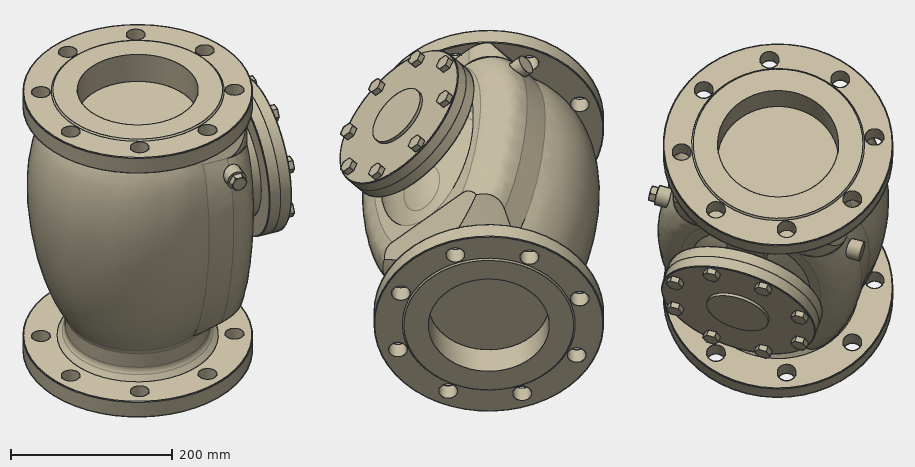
import cadquery as cq
import math

total_height = 400.0
flange_diameter = 285.0
flange_thickness = 24.0
flange_chamfer = 1.0
raised_face_base_diameter = 214.5
raised_face_top_diameter = 210.5
raised_face_height = 2.0
flange_hole_diameter = 23.0
flange_hole_circle_diameter = 240.0
flange_hole_count = 8
bore_diameter = 150.0
bore_depth = 41.0

lower_flange_top = raised_face_height + flange_thickness
upper_flange_bottom = total_height - lower_flange_top
half_pitch_angle = 180 / flange_hole_count

neck_radius = 180.0 / 2
weld_radius = 100.0
weld_angle = 45.0
neck_blend_radius = 12.0
neck_top = 61.5

barrel_profile = [
    (91.5, 67.5),
    (113.5, 114.5),
    (131.0, 185.0),
    (137.0, 250.0),
    (131.0, 313.5),
    (118.5, 347.5),
    (97.0, upper_flange_bottom),
]

casing_back = 113.0
casing_corner_radius = 41.0
casing_seam = 39.0
shoulder_half_width = 97.5
casing_heel = (91.0, 65.5)
casing_slope_top = 107.5
heel_cone_rim = (160.0, 116.0)

opening_height = 256.5
opening_neck_diameter = 150.0
cover_diameter = 200.0
cover_seat = 149.5
opening_flange_thickness = 15.0
cover_thickness = 15.0
cover_chamfer = 1.0
cover_pad_diameter = 80.0
cover_pad_height = 4.0
bridge_width = 48.0
fairing_bottom = 107.5
fairing_top = 356.0
fairing_half_width = 78.0
fairing_crown_radius = 56.0

opening_flange_front = cover_seat - opening_flange_thickness
cover_back = cover_seat + cover_thickness

bolt_count = 8
bolt_circle_diameter = 175.0
hexagon_across_flats = 18.0
hexagon_across_corners = hexagon_across_flats / math.cos(math.radians(30))
bolt_head_height = 7.5

hinge_y = 76.0
hinge_z = 327.0
hinge_boss_diameter = 25.0
hinge_boss_half_length = 133.0
plug_height = 9.0
plug_chamfer = 1.4


def y_plane(y, z=0.0):
    """Plane facing +Y: local x is -X, local y is +Z."""
    return cq.Plane(origin=(0, y, z), xDir=(-1, 0, 0), normal=(0, 1, 0))


def make_pipe_flange():
    """Flange with its raised face down on Z = 0 and eight through holes."""
    disc = (
        cq.Workplane("XY", origin=(0, 0, raised_face_height))
        .circle(flange_diameter / 2)
        .extrude(flange_thickness)
        .edges()
        .chamfer(flange_chamfer)
    )
    raised_face = (
        cq.Workplane("XY")
        .circle(raised_face_top_diameter / 2)
        .workplane(offset=raised_face_height)
        .circle(raised_face_base_diameter / 2)
        .loft(ruled=True)
    )
    holes = (
        cq.Workplane("XY")
        .polarArray(flange_hole_circle_diameter / 2, half_pitch_angle, 360, flange_hole_count)
        .circle(flange_hole_diameter / 2)
        .extrude(lower_flange_top)
    )
    return disc.union(raised_face).cut(holes)


def make_barrel():
    """Lower neck with its weld cone and the bulging barrel, turned about Z."""
    full_turn = math.radians(weld_angle)
    half_turn = full_turn / 2
    cone_top_radius = neck_radius + neck_blend_radius * (1 - math.cos(full_turn))
    cone_top = lower_flange_top + (weld_radius - cone_top_radius) * math.tan(full_turn)
    blend_top = cone_top + neck_blend_radius * math.sin(full_turn)
    blend_middle = (
        neck_radius + neck_blend_radius * (1 - math.cos(half_turn)),
        blend_top - neck_blend_radius * math.sin(half_turn),
    )
    profile = (
        cq.Workplane("XZ")
        .moveTo(0, lower_flange_top)
        .lineTo(weld_radius, lower_flange_top)
        .lineTo(cone_top_radius, cone_top)
        .threePointArc(blend_middle, (neck_radius, blend_top))
        .lineTo(neck_radius, neck_top)
        .lineTo(*barrel_profile[0])
        .spline(barrel_profile[1:], includeCurrent=True)
        .lineTo(0, upper_flange_bottom)
        .close()
    )
    return profile.revolve(360, (0, 0), (0, 1))


def make_casing():
    """Rear half with sides that follow the barrel, rounded corners and a flat back."""
    side = [(math.sqrt(r**2 - casing_seam**2), z) for r, z in barrel_profile[:-1]]
    mirrored_side = [(-x, z) for x, z in reversed(side)]
    shoulder_width, shoulder_z = side[-1]
    lower = (
        cq.Workplane("XZ")
        .moveTo(*side[0])
        .spline(side[1:], includeCurrent=True)
        .lineTo(*mirrored_side[0])
        .spline(mirrored_side[1:], includeCurrent=True)
        .close()
        .extrude(-casing_back)
    )
    lower = lower.faces(">Y").edges("not |X").fillet(casing_corner_radius)

    shoulder = (
        cq.Workplane("XY", origin=(0, casing_back / 2, shoulder_z))
        .rect(2 * shoulder_width, casing_back)
        .extrude(upper_flange_bottom - shoulder_z)
        .edges("|Z and >Y")
        .fillet(casing_corner_radius)
    )
    shoulder_limits = (
        cq.Workplane("XZ")
        .polyline([
            (-shoulder_width, shoulder_z),
            (shoulder_width, shoulder_z),
            (shoulder_half_width, upper_flange_bottom),
            (-shoulder_half_width, upper_flange_bottom),
        ])
        .close()
        .extrude(-casing_back)
    )
    casing = lower.union(shoulder.intersect(shoulder_limits))

    heel_cone = (
        cq.Workplane("XZ")
        .polyline([
            (0, casing_heel[1]),
            casing_heel,
            heel_cone_rim,
            (heel_cone_rim[0], upper_flange_bottom),
            (0, upper_flange_bottom),
        ])
        .close()
        .revolve(360, (0, 0), (0, 1))
    )
    slope_limits = (
        cq.Workplane("YZ")
        .polyline([
            (0, casing_heel[1]),
            casing_heel,
            (casing_back, casing_slope_top),
            (casing_back, upper_flange_bottom),
            (0, upper_flange_bottom),
        ])
        .close()
        .extrude(flange_diameter / 2, both=True)
    )
    return casing.intersect(heel_cone).intersect(slope_limits)


def make_opening():
    """Round neck, its flange, the fairing into the back and the web to the upper flange."""
    neck = (
        cq.Workplane(y_plane(0, opening_height))
        .circle(opening_neck_diameter / 2)
        .extrude(opening_flange_front)
    )
    flange = (
        cq.Workplane(y_plane(opening_flange_front, opening_height))
        .circle(cover_diameter / 2)
        .extrude(opening_flange_thickness)
        .faces("<Y")
        .edges()
        .chamfer(cover_chamfer)
    )
    bridge_height = upper_flange_bottom - opening_height
    bridge = (
        cq.Workplane(y_plane(0, opening_height + bridge_height / 2))
        .rect(bridge_width, bridge_height)
        .extrude(opening_flange_front)
    )
    fairing_middle = (fairing_bottom + fairing_top) / 2
    fairing_half_height = (fairing_top - fairing_bottom) / 2
    fairing = (
        cq.Workplane(y_plane(casing_back, fairing_middle))
        .ellipse(fairing_half_width, fairing_half_height)
        .workplane(offset=opening_flange_front - casing_back)
        .center(0, opening_height - fairing_middle)
        .ellipse(fairing_crown_radius, fairing_crown_radius)
        .loft(ruled=True)
    )
    return neck.union(flange).union(bridge).union(fairing)


def make_hinge():
    """Boss through both sides, ending in a hexagon plug with a turned end on +X."""
    boss = (
        cq.Workplane("YZ", origin=(0, hinge_y, hinge_z))
        .circle(hinge_boss_diameter / 2)
        .extrude(hinge_boss_half_length, both=True)
    )
    plug_base = cq.Workplane("YZ", origin=(hinge_boss_half_length, hinge_y, hinge_z))
    plug_end = plug_base.circle(hexagon_across_corners / 2).extrude(plug_height)
    plug_end = plug_end.faces(">X").edges().chamfer(plug_chamfer)
    plug = plug_base.polygon(6, hexagon_across_corners).extrude(plug_height)
    return boss.union(plug.intersect(plug_end))


def make_housing():
    lower_flange = make_pipe_flange()
    upper_flange = lower_flange.mirror("XY").translate((0, 0, total_height))
    bore = cq.Workplane("XY").circle(bore_diameter / 2).extrude(bore_depth)
    return (
        make_barrel()
        .union(make_casing())
        .union(make_opening())
        .union(make_hinge())
        .union(lower_flange)
        .union(upper_flange)
        .cut(bore)
        .cut(bore.translate((0, 0, total_height - bore_depth)))
    )


def make_cover():
    disc = (
        cq.Workplane(y_plane(cover_seat, opening_height))
        .circle(cover_diameter / 2)
        .extrude(cover_thickness)
        .faces(">Y")
        .edges()
        .chamfer(cover_chamfer)
    )
    pad = (
        cq.Workplane(y_plane(cover_back, opening_height))
        .circle(cover_pad_diameter / 2)
        .extrude(cover_pad_height)
    )
    return disc.union(pad)


def make_bolt(angle):
    """Hexagon head on the cover, two of its corners pointing along X."""
    radius = bolt_circle_diameter / 2
    x = radius * math.cos(math.radians(angle))
    z = radius * math.sin(math.radians(angle))
    return (
        cq.Workplane(y_plane(cover_back, opening_height))
        .center(x, z)
        .polygon(6, hexagon_across_corners)
        .extrude(bolt_head_height)
    )


housing = make_housing()
cover = make_cover()
bolts = [make_bolt((i + 0.5) * 360 / bolt_count) for i in range(bolt_count)]

result = cq.Compound.makeCompound([housing.val(), cover.val(), *[bolt.val() for bolt in bolts]])